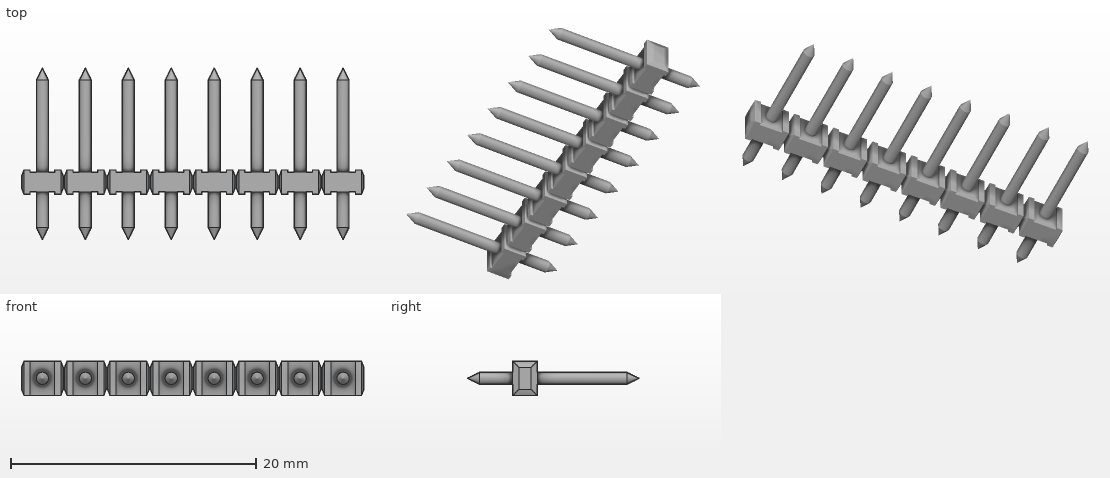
import cadquery as cq

PIN_COUNT = 8
PITCH = 3.5
PIN_DIAMETER = 1.0
PIN_TIP_LENGTH = 1.0
PIN_FRONT_REACH = 3.7
PIN_REAR_REACH = 8.3

SEGMENT_LENGTH = 3.4
SEGMENT_DEPTH = 2.0
SEGMENT_HEIGHT = 2.8
BEVEL_LENGTH = 0.2
BEVEL_INSET = 0.5
RECESS_WIDTH = 2.0
RECESS_DEPTH = 0.2

PIN_RADIUS = PIN_DIAMETER / 2
BLOCK_LENGTH = SEGMENT_LENGTH - 2 * BEVEL_LENGTH
END_DEPTH = SEGMENT_DEPTH - 2 * BEVEL_INSET
END_HEIGHT = SEGMENT_HEIGHT - 2 * BEVEL_INSET
PIN_FRONT_TIP = -SEGMENT_DEPTH / 2 - PIN_FRONT_REACH
PIN_REAR_TIP = SEGMENT_DEPTH / 2 + PIN_REAR_REACH
ROW_LENGTH = (PIN_COUNT - 1) * PITCH


def make_bevel(side):
    """Tapered end of a segment; side is +1 for the +X end and -1 for the -X end."""
    return (
        cq.Workplane("YZ", origin=(side * BLOCK_LENGTH / 2, 0, 0))
        .rect(SEGMENT_DEPTH, SEGMENT_HEIGHT)
        .workplane(offset=side * BEVEL_LENGTH)
        .rect(END_DEPTH, END_HEIGHT)
        .loft(ruled=True)
    )


def make_segment():
    """Housing block with tapered ends and a full-height recess on its front and rear faces."""
    segment = cq.Workplane("XY").box(BLOCK_LENGTH, SEGMENT_DEPTH, SEGMENT_HEIGHT)
    for side in (-1, 1):
        segment = segment.union(make_bevel(side))
    recesses = (
        cq.Workplane("XY")
        .pushPoints([(0, -SEGMENT_DEPTH / 2), (0, SEGMENT_DEPTH / 2)])
        .box(RECESS_WIDTH, 2 * RECESS_DEPTH, SEGMENT_HEIGHT)
    )
    return segment.cut(recesses)


def make_pin():
    """Round pin along Y with a conical point at each end."""
    return (
        cq.Workplane("XY")
        .moveTo(0, PIN_FRONT_TIP)
        .lineTo(PIN_RADIUS, PIN_FRONT_TIP + PIN_TIP_LENGTH)
        .lineTo(PIN_RADIUS, PIN_REAR_TIP - PIN_TIP_LENGTH)
        .lineTo(0, PIN_REAR_TIP)
        .close()
        .revolve(360, (0, 0, 0), (0, 1, 0))
    )


def make_web():
    """Narrow bar along the row that joins neighbouring segments."""
    return cq.Workplane("XY").box(ROW_LENGTH, END_DEPTH, END_HEIGHT)


pin_unit = make_segment().union(make_pin())
result = make_web()
for index in range(PIN_COUNT):
    pin_x = index * PITCH - ROW_LENGTH / 2
    result = result.union(pin_unit.translate((pin_x, 0, 0)))